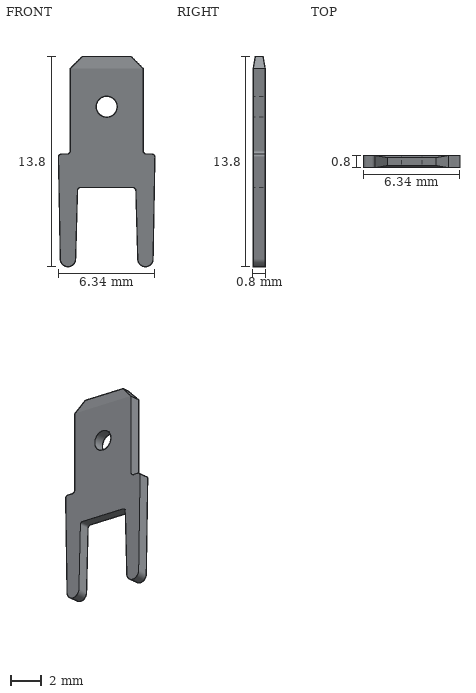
import cadquery as cq
import math


thickness = 0.8
height = 13.8

blade_width = 4.8
blade_length = 6.4
lead_in_height = 0.8
lead_in_inset = 0.8
lead_in_face_angle = 10.0
hole_diameter = 1.36
hole_below_top = 3.3

shoulder_width = 6.347
slot_top_width = 3.8
leg_length = 5.2
leg_pitch = 5.08
tip_radius = 0.51
corner_radius = 0.2

shoulder_z = height - blade_length
lead_in_z = height - lead_in_height
half_blade = blade_width / 2
half_shoulder = shoulder_width / 2
half_slot = slot_top_width / 2
half_pitch = leg_pitch / 2
lead_in_face_depth = lead_in_height * math.tan(math.radians(lead_in_face_angle))


def make_plate():
    """Flat outline of blade, shoulders and tapered round-tipped legs."""
    outline = (
        cq.Workplane("XZ")
        .moveTo(half_blade - lead_in_inset, height)
        .lineTo(half_blade, lead_in_z)
        .lineTo(half_blade, shoulder_z)
        .lineTo(half_shoulder, shoulder_z)
        .lineTo(half_pitch + tip_radius, tip_radius)
        .threePointArc((half_pitch, 0), (half_pitch - tip_radius, tip_radius))
        .lineTo(half_slot, leg_length)
        .lineTo(-half_slot, leg_length)
        .lineTo(-half_pitch + tip_radius, tip_radius)
        .threePointArc((-half_pitch, 0), (-half_pitch - tip_radius, tip_radius))
        .lineTo(-half_shoulder, shoulder_z)
        .lineTo(-half_blade, shoulder_z)
        .lineTo(-half_blade, lead_in_z)
        .lineTo(-half_blade + lead_in_inset, height)
        .close()
    )
    return outline.extrude(thickness / 2, both=True)


def round_corners(plate):
    """Round the shoulder corners, the blade roots and the top of the leg slot."""
    corner_band = cq.selectors.BoxSelector(
        (-shoulder_width, -thickness, leg_length - corner_radius),
        (shoulder_width, thickness, shoulder_z + corner_radius),
    )
    return plate.edges("|Y").edges(corner_band).fillet(corner_radius)


def lead_in_wedge(side):
    """Wedge that thins one broad face towards the blade end; side is +1 or -1."""
    face_y = side * thickness / 2
    return (
        cq.Workplane("YZ")
        .moveTo(face_y, lead_in_z)
        .lineTo(face_y, height)
        .lineTo(face_y - side * lead_in_face_depth, height)
        .close()
        .extrude(half_blade, both=True)
    )


def make_hole():
    """Round detent hole straight through the blade."""
    return (
        cq.Workplane("XZ", origin=(0, thickness / 2, height - hole_below_top))
        .circle(hole_diameter / 2)
        .extrude(thickness)
    )


result = round_corners(make_plate())
for side in (1, -1):
    result = result.cut(lead_in_wedge(side))
result = result.cut(make_hole())